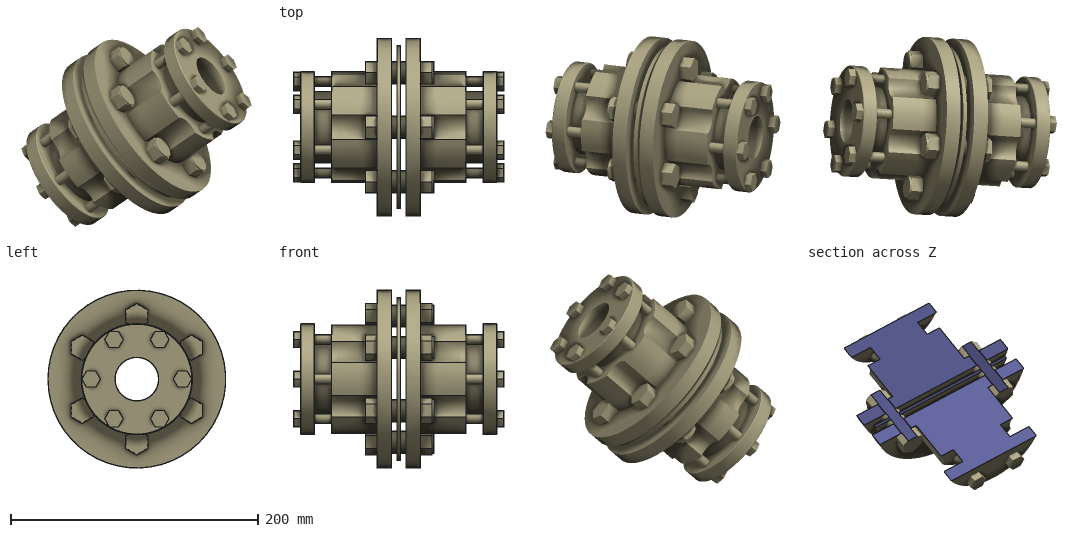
import cadquery as cq
import math


disc_dia = 132.0
disc_thickness = 3.0

bore_dia = 35.0
flange_dia = 144.0
flange_inner_x = 5.75
flange_outer_x = 17.5
hub_dia = 90.0
hub_end_x = 54.25
scallop_radius = 12.25
sleeve_dia = 58.0

ring_dia = 90.0
ring_inner_x = 68.0
ring_outer_x = 79.5
ring_edge_chamfer = 0.5
screw_count = 6
screw_circle_radius = 37.0
screw_dia = 8.0
screw_head_flats = 13.0
overall_length = 170.0

bolt_count = 6
bolt_circle_radius = 51.0
bolt_dia = 18.0
bolt_flats = 18.0
bolt_head_height = 9.5
bolt_end_protrusion = 1.5


def axial_plane(x):
    """Plane across the shaft axis at x, extruding toward +X."""
    return cq.Workplane("YZ", origin=(x, 0, 0))


def cylinder(dia, x_start, x_end, centers=((0, 0),)):
    return axial_plane(x_start).pushPoints(centers).circle(dia / 2).extrude(x_end - x_start)


def hexagon(flats, x_start, x_end, center, angle):
    """Hexagonal prism with one corner pointing at the given angle."""
    corner_radius = flats / math.sqrt(3)
    corner_angles = [math.radians(angle + 60 * i) for i in range(6)]
    corners = [
        (center[0] + corner_radius * math.cos(a), center[1] + corner_radius * math.sin(a))
        for a in corner_angles
    ]
    return axial_plane(x_start).polyline(corners).close().extrude(x_end - x_start)


def circle_points(radius, count, first_angle):
    angles = [math.radians(first_angle + 360 * i / count) for i in range(count)]
    return [(radius * math.cos(a), radius * math.sin(a)) for a in angles]


bolt_centers = circle_points(bolt_circle_radius, bolt_count, 90)
screw_centers = circle_points(screw_circle_radius, screw_count, 0)


def make_hub():
    """Flanged hub on the +X side, joined to its sleeve, clamp ring and screws."""
    barrel = cylinder(hub_dia, flange_outer_x, hub_end_x)
    scallops = cylinder(2 * scallop_radius, flange_outer_x, hub_end_x, bolt_centers)
    hub = cylinder(flange_dia, flange_inner_x, flange_outer_x).union(barrel.cut(scallops))

    ring = cylinder(ring_dia, ring_inner_x, ring_outer_x).edges().chamfer(ring_edge_chamfer)
    hub = hub.union(cylinder(sleeve_dia, hub_end_x, ring_inner_x)).union(ring)

    hub = hub.union(cylinder(screw_dia, hub_end_x, ring_inner_x, screw_centers))
    for center in screw_centers:
        hub = hub.union(hexagon(screw_head_flats, ring_outer_x, overall_length / 2, center, 0))

    hub = hub.cut(cylinder(bore_dia, flange_inner_x, overall_length / 2))
    return hub.cut(cylinder(bolt_dia, flange_inner_x, flange_outer_x, bolt_centers))


def make_disc():
    half = disc_thickness / 2
    disc = cylinder(disc_dia, -half, half).cut(cylinder(bore_dia, -half, half))
    return disc.cut(cylinder(bolt_dia, -half, half, bolt_centers))


def make_bolt(center):
    """Bolt with its head on the -X side and its nut on the +X side."""
    nut_end_x = flange_outer_x + bolt_head_height
    shank = cylinder(bolt_dia, -flange_outer_x, nut_end_x + bolt_end_protrusion, [center])
    head = hexagon(bolt_flats, -nut_end_x, -flange_outer_x, center, 90)
    nut = hexagon(bolt_flats, flange_outer_x, nut_end_x, center, 90)
    return shank.union(head).union(nut)


right_hub = make_hub()
left_hub = right_hub.mirror("YZ")
disc = make_disc()
bolts = [make_bolt(center) for center in bolt_centers]

result = cq.Compound.makeCompound(
    [left_hub.val(), right_hub.val(), disc.val(), *[bolt.val() for bolt in bolts]]
)